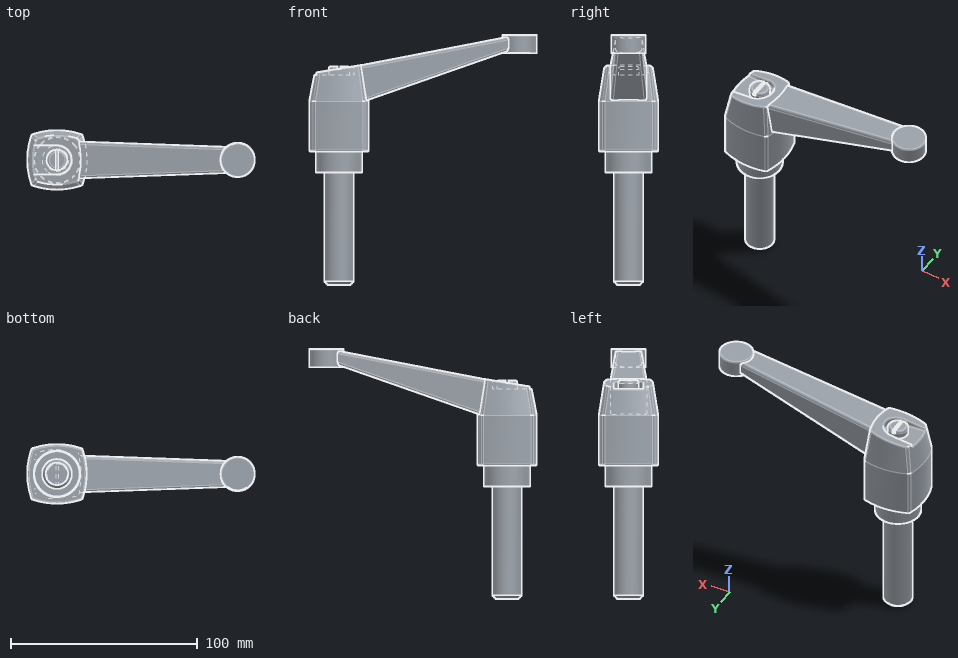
import cadquery as cq
import math


STUD_DIAMETER = 16.0
STUD_LENGTH = 60.0
STUD_CHAMFER = 2.0
COLLAR_DIAMETER = 25.0
COLLAR_CHAMFER = 0.4

HUB_WIDTH = 32.0
HUB_SIDE_RADIUS = 40.0
HUB_CORNER_RADIUS = 2.0
HUB_BOTTOM_Z = 11.4
HUB_BOTTOM_FILLET = 1.0
HUB_BREAK_Z = 38.4
HUB_TOP_INSET = 2.8
RIM_FILLET = 0.5
TOP_AXIS_Z = 55.9
TOP_SLOPE = 9.4

RECESS_RADIUS = 7.8
RECESS_FLOOR_FILLET = 0.5
RECESS_FLOOR_Z = 52.5
MOUTH_X = -12.0

SCREW_DIAMETER = 11.0
SCREW_TOP_Z = 57.1
SCREW_EDGE_FILLET = 1.25
DRIVE_SLOT_WIDTH = 1.5
DRIVE_SLOT_DEPTH = 1.5

KNOB_DIAMETER = 18.5
KNOB_HEIGHT = 10.0
KNOB_TOP_Z = 74.0
KNOB_EDGE_FILLET = 0.5
LEVER_REACH = 106.0
KNOB_X = LEVER_REACH - KNOB_DIAMETER / 2
KNOB_BOTTOM_Z = KNOB_TOP_Z - KNOB_HEIGHT

ARM_START_X = 9.0
ARM_OVERLAP = 7.0
ARM_END_X = KNOB_X - KNOB_DIAMETER / 2 + ARM_OVERLAP
ARM_TOP_START_Z = 57.2
ARM_TOP_END_Z = 73.75
ARM_BOTTOM_START_Z = 36.8
ARM_BOTTOM_END_Z = 66.7
ARM_START_WIDTH = 20.0
ARM_END_WIDTH = 13.9
ARM_EDGE_FILLET = 1.5

TOLERANCE = 0.01
CORNER_MIN_HEIGHT = 10.0


def cylinder(diameter, bottom_z, top_z):
    """Upright cylinder on the stud axis."""
    return cq.Workplane("XY").workplane(offset=bottom_z).circle(diameter / 2).extrude(top_z - bottom_z)


def hub_outline(plane, inset):
    """Square with four bulging sides, moved inwards by an inset; its corners are sharp."""
    half = HUB_WIDTH / 2 - inset
    radius = HUB_SIDE_RADIUS - inset
    offset = radius - half
    corner = (-offset + math.sqrt(2 * radius**2 - offset**2)) / 2
    return (
        cq.Workplane(plane)
        .moveTo(corner, -corner)
        .threePointArc((half, 0), (corner, corner))
        .threePointArc((0, half), (-corner, corner))
        .threePointArc((-half, 0), (-corner, -corner))
        .threePointArc((0, -half), (corner, -corner))
        .close()
    )


def top_z_at(x):
    """Height of the sloping top face at a given X."""
    return TOP_AXIS_Z + x * math.tan(math.radians(TOP_SLOPE))


def is_corner(edge):
    """True for the tall edges at the corners of the hub."""
    return edge.BoundingBox().zlen > CORNER_MIN_HEIGHT


def on_rim(edge):
    """True for an edge around the top face or around the mouth of the recess."""
    center = edge.Center()
    on_top_face = abs(center.z - top_z_at(center.x)) < TOLERANCE
    at_mouth = center.x < MOUTH_X and center.z > RECESS_FLOOR_Z - TOLERANCE
    return on_top_face or at_mouth


def make_hub():
    lower = hub_outline(cq.Plane((0, 0, HUB_BOTTOM_Z)), 0).extrude(HUB_BREAK_Z - HUB_BOTTOM_Z)
    lower = lower.edges().filter(is_corner).fillet(HUB_CORNER_RADIUS)
    lower = lower.faces("<Z").edges().fillet(HUB_BOTTOM_FILLET)

    slope = math.radians(TOP_SLOPE)
    top_plane = cq.Plane(
        origin=(0, 0, TOP_AXIS_Z),
        xDir=(math.cos(slope), 0, math.sin(slope)),
        normal=(-math.sin(slope), 0, math.cos(slope)),
    )
    break_wire = hub_outline(cq.Plane((0, 0, HUB_BREAK_Z)), 0).val()
    top_wire = hub_outline(top_plane, HUB_TOP_INSET).val()
    upper = cq.Workplane(cq.Solid.makeLoft([break_wire, top_wire], True))
    upper = upper.edges().filter(is_corner).fillet(HUB_CORNER_RADIUS)
    upper = upper.cut(make_recess())
    upper = upper.edges().filter(on_rim).fillet(RIM_FILLET)
    return lower.union(upper)


def make_recess():
    """Cutter for the flat-floored recess with a round end on the stud axis."""
    depth = top_z_at(HUB_WIDTH) - RECESS_FLOOR_Z
    channel = (
        cq.Workplane("XY")
        .workplane(offset=RECESS_FLOOR_Z)
        .center(-HUB_WIDTH / 2, 0)
        .rect(HUB_WIDTH, 2 * RECESS_RADIUS)
        .extrude(depth)
    )
    cutter = channel.union(cylinder(2 * RECESS_RADIUS, RECESS_FLOOR_Z, RECESS_FLOOR_Z + depth))
    return cutter.faces("<Z").edges("not <X").fillet(RECESS_FLOOR_FILLET)


def make_screw():
    head = cylinder(SCREW_DIAMETER, HUB_BREAK_Z, SCREW_TOP_Z).faces(">Z").edges().fillet(SCREW_EDGE_FILLET)
    drive_slot = (
        cq.Workplane("XY")
        .workplane(offset=SCREW_TOP_Z - DRIVE_SLOT_DEPTH)
        .rect(DRIVE_SLOT_WIDTH, 2 * SCREW_DIAMETER)
        .extrude(2 * DRIVE_SLOT_DEPTH)
    )
    return head.cut(drive_slot)


def make_arm():
    side = (
        cq.Workplane("XZ")
        .moveTo(ARM_START_X, ARM_BOTTOM_START_Z)
        .lineTo(ARM_END_X, ARM_BOTTOM_END_Z)
        .lineTo(ARM_END_X, ARM_TOP_END_Z)
        .lineTo(ARM_START_X, ARM_TOP_START_Z)
        .close()
        .extrude(ARM_START_WIDTH, both=True)
    )
    plan = (
        cq.Workplane("XY")
        .moveTo(ARM_START_X, -ARM_START_WIDTH / 2)
        .lineTo(ARM_END_X, -ARM_END_WIDTH / 2)
        .lineTo(ARM_END_X, ARM_END_WIDTH / 2)
        .lineTo(ARM_START_X, ARM_START_WIDTH / 2)
        .close()
        .extrude(KNOB_TOP_Z)
    )
    arm = side.intersect(plan)
    return arm.edges("not #X").fillet(ARM_EDGE_FILLET)


def make_knob():
    knob = cylinder(KNOB_DIAMETER, KNOB_BOTTOM_Z, KNOB_TOP_Z).translate((KNOB_X, 0, 0))
    return knob.faces("<Z or >Z").edges().fillet(KNOB_EDGE_FILLET)


stud = cylinder(STUD_DIAMETER, -STUD_LENGTH, 0).faces("<Z").chamfer(STUD_CHAMFER)
collar = cylinder(COLLAR_DIAMETER, 0, HUB_BOTTOM_Z).faces("<Z").chamfer(COLLAR_CHAMFER)

result = stud.union(collar).union(make_hub()).union(make_screw()).union(make_arm()).union(make_knob())